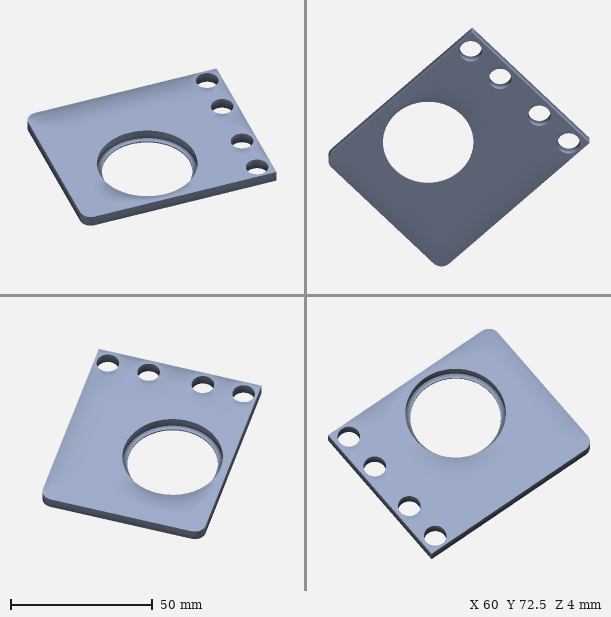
import cadquery as cq

width = 60.0
length = 72.5
thickness = 4.0
corner_radius = 4.0

mount_diameter = 8.0
mount_edge_distance = 5.45
outer_hole_spacing = 50.0
inner_hole_spacing = 20.0

bore_diameter = 32.0
seat_diameter = 35.5
seat_depth = 3.5
bore_from_left = 39.5
bore_from_back = 41.05


def make_plate():
    """Plate with its base on Z = 0 and the two -Y corners rounded."""
    plate = cq.Workplane("XY").box(width, length, thickness, centered=(True, True, False))
    return plate.edges("|Z and <Y").fillet(corner_radius)


def cut_mounting_holes(plate):
    hole_y = length / 2 - mount_edge_distance
    centers = []
    for spacing in (outer_hole_spacing, inner_hole_spacing):
        for side in (-1, 1):
            centers.append((side * spacing / 2, hole_y))
    holes = cq.Workplane("XY").pushPoints(centers).circle(mount_diameter / 2).extrude(thickness)
    return plate.cut(holes)


def cut_stepped_opening(plate):
    """Through bore with a wider seat sunk from the top face."""
    center_x = bore_from_left - width / 2
    center_y = length / 2 - bore_from_back
    top = cq.Workplane("XY", origin=(center_x, center_y, thickness))
    bore = top.circle(bore_diameter / 2).extrude(-thickness)
    seat = top.circle(seat_diameter / 2).extrude(-seat_depth)
    return plate.cut(bore).cut(seat)


result = cut_stepped_opening(cut_mounting_holes(make_plate()))